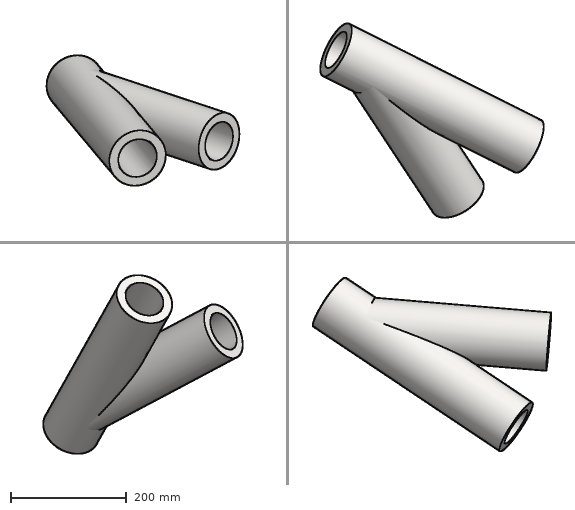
import cadquery as cq
import math

OUTER_DIAMETER = 101.6
BORE_DIAMETER = 69.29
RUN_LENGTH = 393.7
BRANCH_LENGTH = 317.5
BRANCH_ANGLE = 30.0
CROSSING_OFFSET = 76.2

RUN_START = cq.Vector(-CROSSING_OFFSET, 0, 0)
RUN_DIRECTION = cq.Vector(1, 0, 0)
BRANCH_START = cq.Vector(0, 0, 0)
BRANCH_DIRECTION = cq.Vector(
    math.cos(math.radians(BRANCH_ANGLE)),
    math.sin(math.radians(BRANCH_ANGLE)),
    0,
)


def lateral_of_diameter(diameter):
    """Run and branch cylinders of one diameter, joined where they cross."""
    radius = diameter / 2
    run = cq.Solid.makeCylinder(radius, RUN_LENGTH, RUN_START, RUN_DIRECTION)
    branch = cq.Solid.makeCylinder(radius, BRANCH_LENGTH, BRANCH_START, BRANCH_DIRECTION)
    return cq.Workplane(obj=run).union(cq.Workplane(obj=branch))


outer_body = lateral_of_diameter(OUTER_DIAMETER)
bores = lateral_of_diameter(BORE_DIAMETER)
result = outer_body.cut(bores)